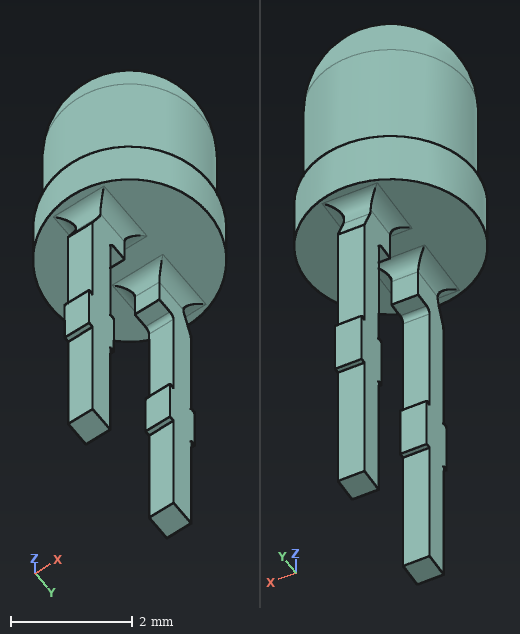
import cadquery as cq

overall_height = 11.1
lens_radius = 1.44
flange_radius = 1.6
flange_height = 1.0
flange_bottom = 6.5
flange_top = flange_bottom + flange_height
dome_base = overall_height - lens_radius

lead_width = 0.5
lead_inner = 0.89
lead_outer = lead_inner + lead_width
head_inner = 0.49
head_outer = 1.02
head_bottom = flange_bottom - 0.8
inner_corner_radius = 0.1
neck_fillet = 0.27
tab_overhang = 0.1
tab_top = flange_bottom - 3.0
tab_bottom = tab_top - flange_height


def make_body():
    """Flange and cylindrical lens with a hemispherical dome, revolved about Z."""
    dome_mid = lens_radius * 0.5 ** 0.5
    return (
        cq.Workplane("XZ")
        .moveTo(0, flange_bottom)
        .lineTo(flange_radius, flange_bottom)
        .lineTo(flange_radius, flange_top)
        .lineTo(lens_radius, flange_top)
        .lineTo(lens_radius, dome_base)
        .threePointArc((dome_mid, dome_base + dome_mid), (0, overall_height))
        .close()
        .revolve(360, (0, 0), (0, 1))
    )


def make_lead():
    """Lead on the +Y side, extruded symmetrically about the YZ plane."""
    outline = [
        (head_inner, flange_bottom),
        (head_outer, flange_bottom),
        (lead_outer, head_bottom),
        (lead_outer, tab_top),
        (lead_outer + tab_overhang, tab_top),
        (lead_outer + tab_overhang, tab_bottom),
        (lead_outer, tab_bottom),
        (lead_outer, 0),
        (lead_inner, 0),
        (lead_inner, tab_bottom),
        (lead_inner - tab_overhang, tab_bottom),
        (lead_inner - tab_overhang, tab_top),
        (lead_inner, tab_top),
        (lead_inner, head_bottom),
        (head_inner, head_bottom),
    ]
    lead = cq.Workplane("YZ").polyline(outline).close().extrude(lead_width / 2, both=True)
    inner_corner = cq.selectors.NearestToPointSelector((0, lead_inner, head_bottom))
    return lead.edges("|X").edges(inner_corner).fillet(inner_corner_radius)


def fillet_necks(part):
    """Round the joint between each lead head and the underside of the flange."""
    margin = 0.01
    neck_joints = cq.selectors.BoxSelector(
        (-lead_width, -head_outer - margin, flange_bottom - margin),
        (lead_width, head_outer + margin, flange_bottom + margin),
    )
    return part.edges(neck_joints).edges("#Z").edges("%LINE").fillet(neck_fillet)


lead = make_lead()
result = fillet_necks(make_body().union(lead).union(lead.mirror("XZ")))